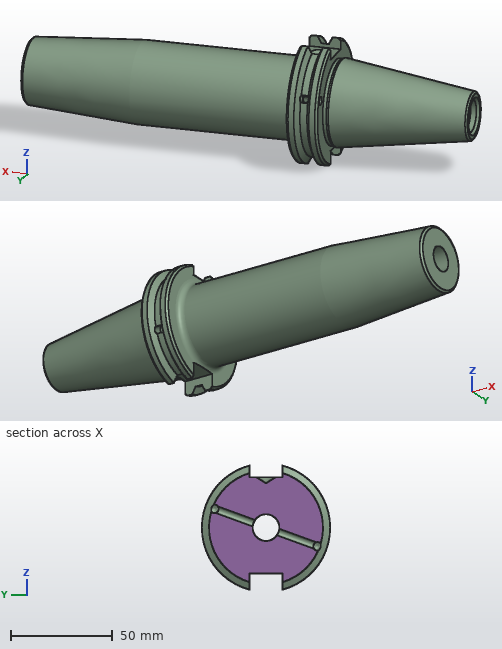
import cadquery as cq
import math

TOTAL_LENGTH = 228.2
TAPER_LENGTH = 68.2
FLANGE_START = 71.2
FLANGE_END = 87.2
GROOVE_CENTER = 79.2
NOSE_START = 171.0

TAPER_RADIUS = 44.5 / 2
TAPER_SLOPE = 7 / 24 / 2
TAPER_END_RADIUS = TAPER_RADIUS - TAPER_LENGTH * TAPER_SLOPE
TAPER_END_CHAMFER = 1.0
RELIEF_RADIUS = 43.5 / 2
RELIEF_START = 69.5

FLANGE_RADIUS = 63.2 / 2
FLANGE_CHAMFER = 1.1
GROOVE_BOTTOM_RADIUS = 56.1 / 2
GROOVE_BOTTOM_WIDTH = 3.7
GROOVE_SIDE_ANGLE = 30
GROOVE_TOP_WIDTH = (
    GROOVE_BOTTOM_WIDTH
    + 2 * (FLANGE_RADIUS - GROOVE_BOTTOM_RADIUS) * math.tan(math.radians(GROOVE_SIDE_ANGLE))
)

BODY_RADIUS = 42.0 / 2
BODY_FILLET = 3.2
NOSE_RADIUS = 34.0 / 2
NOSE_CHAMFER = 1.1

BORE_DIAMETER = 13.0
COUNTERBORE_DIAMETER = 16.2
COUNTERBORE_DEPTH = 4.3
ENTRY_DIAMETER = 19.0
ENTRY_DEPTH = 1.4

SLOT_WIDTH = 16.0
TOP_SLOT_FLOOR = 24.9
BOTTOM_SLOT_FLOOR = 22.5
DIMPLE_DIAMETER = 9.5
DIMPLE_DEPTH = 3.0

COOLANT_DIAMETER = 4.0
COOLANT_CIRCLE_RADIUS = 27.0
COOLANT_ANGLE = 20
COOLANT_DEPTH = GROOVE_CENTER + GROOVE_BOTTOM_WIDTH / 2 - FLANGE_START
COOLANT_TIP_DEPTH = 1.1
CHANNEL_DIAMETER = 3.2


def make_body():
    """Revolve the outer outline, with points as (x, radius), about the X axis."""
    outline = (
        cq.Workplane("XY")
        .moveTo(0, 0)
        .lineTo(0, TAPER_END_RADIUS - TAPER_END_CHAMFER)
        .lineTo(TAPER_END_CHAMFER, TAPER_END_RADIUS + TAPER_END_CHAMFER * TAPER_SLOPE)
        .lineTo(TAPER_LENGTH, TAPER_RADIUS)
        .lineTo(RELIEF_START, RELIEF_RADIUS)
        .lineTo(FLANGE_START, RELIEF_RADIUS)
        .lineTo(FLANGE_START, FLANGE_RADIUS - FLANGE_CHAMFER)
        .lineTo(FLANGE_START + FLANGE_CHAMFER, FLANGE_RADIUS)
        .lineTo(GROOVE_CENTER - GROOVE_TOP_WIDTH / 2, FLANGE_RADIUS)
        .lineTo(GROOVE_CENTER - GROOVE_BOTTOM_WIDTH / 2, GROOVE_BOTTOM_RADIUS)
        .lineTo(GROOVE_CENTER + GROOVE_BOTTOM_WIDTH / 2, GROOVE_BOTTOM_RADIUS)
        .lineTo(GROOVE_CENTER + GROOVE_TOP_WIDTH / 2, FLANGE_RADIUS)
        .lineTo(FLANGE_END - FLANGE_CHAMFER, FLANGE_RADIUS)
        .lineTo(FLANGE_END, FLANGE_RADIUS - FLANGE_CHAMFER)
        .lineTo(FLANGE_END, BODY_RADIUS + BODY_FILLET)
        .radiusArc((FLANGE_END + BODY_FILLET, BODY_RADIUS), -BODY_FILLET)
        .lineTo(NOSE_START, BODY_RADIUS)
        .lineTo(TOTAL_LENGTH - NOSE_CHAMFER, NOSE_RADIUS)
        .lineTo(TOTAL_LENGTH, NOSE_RADIUS - NOSE_CHAMFER)
        .lineTo(TOTAL_LENGTH, 0)
        .close()
    )
    return outline.revolve(360, (0, 0, 0), (1, 0, 0))


def make_bore():
    """Through bore with a counterbore and a conical entry at the taper end."""
    outline = (
        cq.Workplane("XY")
        .moveTo(0, 0)
        .lineTo(0, ENTRY_DIAMETER / 2)
        .lineTo(ENTRY_DEPTH, COUNTERBORE_DIAMETER / 2)
        .lineTo(COUNTERBORE_DEPTH, COUNTERBORE_DIAMETER / 2)
        .lineTo(COUNTERBORE_DEPTH, BORE_DIAMETER / 2)
        .lineTo(TOTAL_LENGTH, BORE_DIAMETER / 2)
        .lineTo(TOTAL_LENGTH, 0)
        .close()
    )
    return outline.revolve(360, (0, 0, 0), (1, 0, 0))


def make_slot(floor_height, side):
    """Drive slot through the flange and its fillet; side is 1 for +Z and -1 for -Z."""
    height = FLANGE_RADIUS - floor_height
    length = FLANGE_END + BODY_FILLET - FLANGE_START
    slot = cq.Workplane("XY").box(length, SLOT_WIDTH, height)
    return slot.translate((FLANGE_START + length / 2, 0, side * (floor_height + height / 2)))


def make_dimple():
    """Conical dimple in the floor of the +Z slot."""
    cone = cq.Solid.makeCone(
        DIMPLE_DIAMETER / 2,
        0,
        DIMPLE_DEPTH,
        pnt=cq.Vector(GROOVE_CENTER, 0, TOP_SLOT_FLOOR),
        dir=cq.Vector(0, 0, -1),
    )
    return cq.Workplane(obj=cone)


def make_coolant_hole(side):
    """Drilled hole with its channel, on the +Y (side 1) or -Y (side -1) half of the flange."""
    along = cq.Vector(1, 0, 0)
    radius = COOLANT_DIAMETER / 2
    entry = cq.Vector(FLANGE_START, side * COOLANT_CIRCLE_RADIUS, 0)
    hole = cq.Solid.makeCylinder(radius, COOLANT_DEPTH, entry, along)
    tip = cq.Solid.makeCone(radius, 0, COOLANT_TIP_DEPTH, entry + along * COOLANT_DEPTH, along)
    channel = cq.Solid.makeCylinder(
        CHANNEL_DIAMETER / 2,
        COOLANT_CIRCLE_RADIUS,
        cq.Vector(GROOVE_CENTER, 0, 0),
        cq.Vector(0, side, 0),
    )
    drilled = cq.Workplane(obj=hole.fuse(tip, channel))
    return drilled.rotate((0, 0, 0), (1, 0, 0), COOLANT_ANGLE)


result = make_body()
result = result.cut(make_bore())
result = result.cut(make_slot(TOP_SLOT_FLOOR, 1))
result = result.cut(make_slot(BOTTOM_SLOT_FLOOR, -1))
result = result.cut(make_dimple())
for side in (1, -1):
    result = result.cut(make_coolant_hole(side))